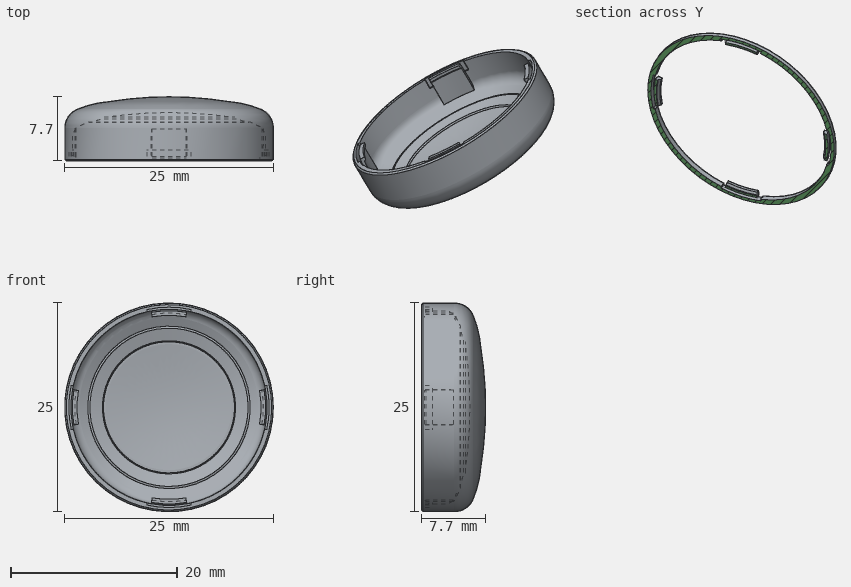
import cadquery as cq
import math


outer_radius = 12.5
height = 7.7
rim_chamfer = 0.2
side_height = 3.95
shoulder_radius, shoulder_height = 11.0, 6.2
crown_radius, crown_height = 7.15, 7.12

bore_radius = 11.75
bore_depth = 2.8
cove_radius, cove_depth = 10.72, 4.18
ledge_outer_radius, ledge_outer_depth = 9.72, 4.68
ledge_inner_radius, ledge_inner_depth = 9.48, 4.62
step_outer_radius, step_outer_depth = 7.98, 5.05
step_inner_radius = 7.85
floor_radius, floor_depth = 7.55, 5.25
cavity_depth = 5.8

tongue_count = 4
tongue_spacing = 360 / tongue_count
tongue_half_angle = 10.5
tongue_inner_radius = 11.3
tongue_root_radius = 12.0
tongue_tip_radius = 11.58
tongue_end_depth = 4.0
barb_radius = 11.02
barb_flat = 0.35
barb_depth = 0.55

relief_width = 5.25
relief_radius = 12.0
relief_depth = 1.3


def cap_middle(peak_height, edge_radius, edge_height):
    """Point halfway out along a spherical cap that peaks on the axis."""
    rise = peak_height - edge_height
    sphere_radius = (edge_radius**2 + rise**2) / (2 * rise)
    half_radius = edge_radius / 2
    drop = sphere_radius - math.sqrt(sphere_radius**2 - half_radius**2)
    return half_radius, peak_height - drop


def turned(profile):
    """Revolve a closed radius-height profile all round the Y axis."""
    return profile.revolve(360, (0, 0, 0), (0, 1, 0))


def make_body():
    return turned(
        cq.Workplane("XY")
        .moveTo(0, 0)
        .lineTo(outer_radius - rim_chamfer, 0)
        .lineTo(outer_radius, rim_chamfer)
        .lineTo(outer_radius, side_height)
        .tangentArcPoint((shoulder_radius, shoulder_height), relative=False)
        .tangentArcPoint((crown_radius, crown_height), relative=False)
        .threePointArc(cap_middle(height, crown_radius, crown_height), (0, height))
        .close()
    )


def make_cavity():
    return turned(
        cq.Workplane("XY")
        .moveTo(0, 0)
        .lineTo(bore_radius, 0)
        .lineTo(bore_radius, bore_depth)
        .tangentArcPoint((cove_radius, cove_depth), relative=False)
        .lineTo(ledge_outer_radius, ledge_outer_depth)
        .lineTo(ledge_inner_radius, ledge_inner_depth)
        .lineTo(step_outer_radius, step_outer_depth)
        .lineTo(step_inner_radius, floor_depth)
        .lineTo(floor_radius, floor_depth)
        .threePointArc(cap_middle(cavity_depth, floor_radius, floor_depth), (0, cavity_depth))
        .close()
    )


def make_relief():
    """Straight-sided pocket with a round back, cut into the rim on the +X side."""
    slab = cq.Workplane("XY").box(
        relief_radius, relief_depth, relief_width, centered=(False, False, True)
    )
    disc = cq.Workplane("XZ").circle(relief_radius).extrude(-relief_depth)
    return slab.intersect(disc)


def make_tongue():
    """Barbed tongue on the +X side, a sector centred on the X axis."""
    return (
        cq.Workplane("XY")
        .moveTo(barb_radius, 0)
        .lineTo(tongue_tip_radius, 0)
        .lineTo(bore_radius, relief_depth)
        .lineTo(tongue_root_radius, relief_depth)
        .lineTo(tongue_root_radius, tongue_end_depth)
        .lineTo(tongue_inner_radius, tongue_end_depth)
        .lineTo(tongue_inner_radius, barb_depth)
        .lineTo(barb_radius, barb_flat)
        .close()
        .revolve(2 * tongue_half_angle, (0, 0, 0), (0, 1, 0))
        .rotate((0, 0, 0), (0, 1, 0), -tongue_half_angle)
    )


result = make_body().cut(make_cavity())
for index in range(tongue_count):
    turn = index * tongue_spacing
    result = result.cut(make_relief().rotate((0, 0, 0), (0, 1, 0), turn))
    result = result.union(make_tongue().rotate((0, 0, 0), (0, 1, 0), turn))